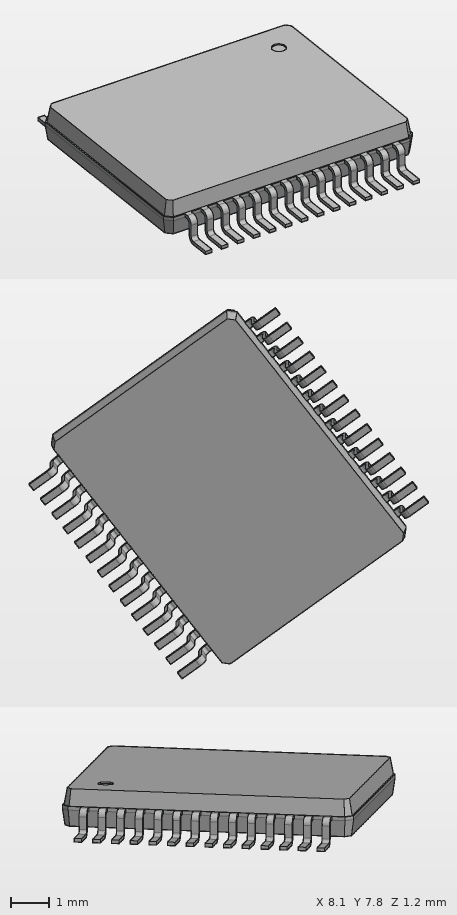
import cadquery as cq
import math

overall_span = 8.1
overall_height = 1.2

body_width = 6.1
body_length = 7.8
body_bottom = 0.2
corner_chamfer = 0.195
upper_ledge = 0.04
upper_draft = 0.08
lower_draft = 0.065

leads_per_side = 14
lead_row_length = 6.505
lead_width = 0.2
lead_thickness = 0.1
lead_top = 0.745
bend_inner_radius = 0.105
shank_distance = 0.7
lead_embed = 0.16

mark_diameter = 0.4
mark_inset = 1.005
mark_depth = 0.04

lead_pitch = lead_row_length / (leads_per_side - 1)

band_bottom = lead_top - lead_thickness
bend_outer_radius = bend_inner_radius + lead_thickness


def chamfered_outline(z, inset):
    """Body outline at height z, drawn in evenly from the parting band."""
    chamfer = corner_chamfer - inset * (2 - math.sqrt(2))
    half_width = body_width / 2 - inset
    half_length = body_length / 2 - inset
    return cq.Workplane("XY", origin=(0, 0, z)).polyline([
        (half_width, half_length - chamfer),
        (half_width - chamfer, half_length),
        (chamfer - half_width, half_length),
        (-half_width, half_length - chamfer),
        (-half_width, chamfer - half_length),
        (chamfer - half_width, -half_length),
        (half_width - chamfer, -half_length),
        (half_width, chamfer - half_length),
    ]).close()


def shell(start, height, inset, draft):
    """Body shell whose sides lean inward by draft over a signed height."""
    draft_angle = math.degrees(math.atan2(draft, abs(height)))
    return chamfered_outline(start, inset).extrude(height, taper=draft_angle)


def make_body():
    band = chamfered_outline(band_bottom, 0).extrude(lead_thickness)
    upper = shell(lead_top, overall_height - lead_top, upper_ledge, upper_draft)
    lower = shell(band_bottom, body_bottom - band_bottom, 0, lower_draft)
    return band.union(upper).union(lower)


def make_left_lead():
    """One lead on the -X side, centred on Y = 0, standing on Z = 0."""
    tip = -overall_span / 2
    shank_outer = tip + shank_distance
    shank_inner = shank_outer + lead_thickness
    root = -body_width / 2 + lead_embed
    foot_bend_x = shank_outer - bend_inner_radius
    shoulder_bend_x = shank_inner + bend_inner_radius
    foot_bend_z = bend_outer_radius
    shoulder_bend_z = lead_top - bend_outer_radius
    diagonal = math.sqrt(0.5)

    def foot_arc_middle(radius):
        return (foot_bend_x + radius * diagonal, foot_bend_z - radius * diagonal)

    def shoulder_arc_middle(radius):
        return (shoulder_bend_x - radius * diagonal, shoulder_bend_z + radius * diagonal)

    profile = (
        cq.Workplane("XZ")
        .moveTo(tip, 0)
        .lineTo(foot_bend_x, 0)
        .threePointArc(foot_arc_middle(bend_outer_radius), (shank_inner, foot_bend_z))
        .lineTo(shank_inner, shoulder_bend_z)
        .threePointArc(shoulder_arc_middle(bend_inner_radius), (shoulder_bend_x, band_bottom))
        .lineTo(root, band_bottom)
        .lineTo(root, lead_top)
        .lineTo(shoulder_bend_x, lead_top)
        .threePointArc(shoulder_arc_middle(bend_outer_radius), (shank_outer, shoulder_bend_z))
        .lineTo(shank_outer, foot_bend_z)
        .threePointArc(foot_arc_middle(bend_inner_radius), (foot_bend_x, lead_thickness))
        .lineTo(tip, lead_thickness)
        .close()
    )
    return profile.extrude(lead_width / 2, both=True)


def make_pin_one_mark():
    """Cutter for the shallow round mark in the -X, +Y corner of the top face."""
    centre = (mark_inset - body_width / 2, body_length / 2 - mark_inset)
    floor = cq.Workplane("XY", origin=(0, 0, overall_height - mark_depth))
    return floor.center(*centre).circle(mark_diameter / 2).extrude(mark_depth)


result = make_body().cut(make_pin_one_mark())
left_lead = make_left_lead()
right_lead = left_lead.mirror("YZ")
for index in range(leads_per_side):
    lead_y = index * lead_pitch - lead_row_length / 2
    result = result.union(left_lead.translate((0, lead_y, 0)))
    result = result.union(right_lead.translate((0, lead_y, 0)))